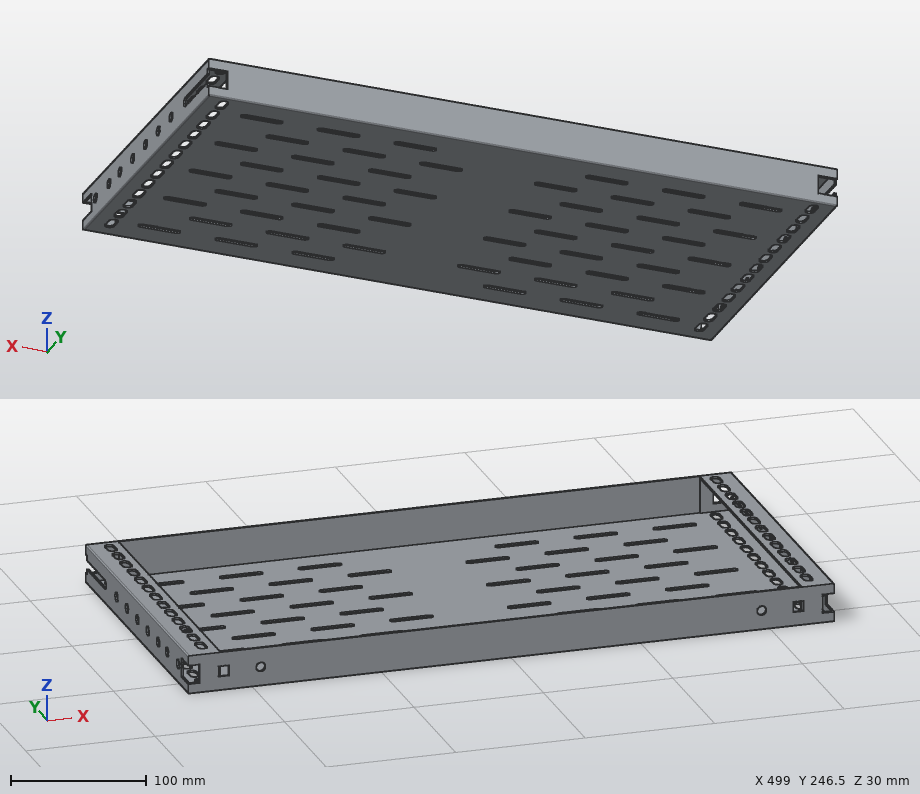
import cadquery as cq

LENGTH = 499.0
DEPTH = 246.5
HEIGHT = 30.0
SHEET = 1.5
BEND_RADIUS = 1.0

TAB_THICKNESS = 1.0
LAPPED_THICKNESS = SHEET + TAB_THICKNESS
FLANGE_WIDTH = 25.0

FLANGE_SLOT_LENGTH = 14.0
FLANGE_SLOT_WIDTH = 7.0
FLANGE_SLOT_COUNT = 13
FLANGE_SLOT_PITCH = 18.0
FLANGE_SLOT_INSET = 15.5
FLANGE_SLOT_ROW_Y = 3.0

VENT_LENGTH = 33.0
VENT_WIDTH = 5.0
VENT_ROWS = 9
VENT_ROW_PITCH = 25.0
VENT_COLUMNS = 3
VENT_COLUMN_PITCH = 61.0
VENT_INSET = 51.5
VENT_STAGGER = VENT_COLUMN_PITCH / 2

WINDOW_HEIGHT = 14.5
WINDOW_ALONG_FRONT = 9.0
WINDOW_ALONG_BACK = 15.0
WINDOW_ALONG_WEB = 17.0

SQUARE_HOLE = 8.0
SQUARE_HOLE_INSET = 27.5
ROUND_HOLE_DIAMETER = 7.0
ROUND_HOLE_INSET = 56.0

SIDE_HOLE_DIAMETER = 7.0
SIDE_HOLE_PITCH = 25.0
SIDE_GRID_Y = -0.5
SIDE_GRID_STEPS = (-2, -1, 0, 1, 2)
SIDE_FRONT_HOLES_Y = (-72.0, -98.5)
SIDE_SLOT_DEPTH = 49.0
SIDE_SLOT_HEIGHT = 7.0

HALF_LENGTH = LENGTH / 2
HALF_DEPTH = DEPTH / 2
MID_HEIGHT = HEIGHT / 2


def block(x_range, y_range, z_range):
    """Box spanning the given ranges."""
    size = [high - low for low, high in (x_range, y_range, z_range)]
    corner = cq.Vector(x_range[0], y_range[0], z_range[0])
    return cq.Workplane("XY").box(*size, centered=False).translate(corner)


def folded_tray():
    """Floor, four walls, side flanges and lapped tabs as one sheet body."""
    outer = (
        cq.Workplane("XY")
        .box(LENGTH, DEPTH, HEIGHT, centered=(True, True, False))
        .edges("|Y or (|X and <Z)")
        .fillet(BEND_RADIUS)
    )
    inner_x = HALF_LENGTH - SHEET
    inner_y = HALF_DEPTH - SHEET
    opening_x = HALF_LENGTH - FLANGE_WIDTH
    tab_inner_y = inner_y - TAB_THICKNESS
    under_flanges = block((-inner_x, inner_x), (-tab_inner_y, tab_inner_y), (SHEET, HEIGHT - SHEET))
    opening = block((-opening_x, opening_x), (-inner_y, inner_y), (SHEET, HEIGHT))
    return outer.cut(under_flanges).cut(opening)


def flange_slots():
    """Short slots through flange and floor along both sides."""
    x = HALF_LENGTH - FLANGE_SLOT_INSET
    middle = (FLANGE_SLOT_COUNT - 1) / 2
    centres = [
        (side * x, FLANGE_SLOT_ROW_Y + (i - middle) * FLANGE_SLOT_PITCH)
        for side in (-1, 1)
        for i in range(FLANGE_SLOT_COUNT)
    ]
    return (
        cq.Workplane("XY")
        .pushPoints(centres)
        .slot2D(FLANGE_SLOT_LENGTH, FLANGE_SLOT_WIDTH, 90)
        .extrude(HEIGHT)
    )


def vent_slots():
    """Staggered floor slots, mirrored about the middle of the length."""
    middle = (VENT_ROWS - 1) / 2
    centres = []
    for row in range(VENT_ROWS):
        inset = VENT_INSET + (row % 2) * VENT_STAGGER
        y = (row - middle) * VENT_ROW_PITCH
        for column in range(VENT_COLUMNS):
            x = HALF_LENGTH - inset - column * VENT_COLUMN_PITCH
            centres += [(-x, y), (x, y)]
    return cq.Workplane("XY").pushPoints(centres).slot2D(VENT_LENGTH, VENT_WIDTH).extrude(SHEET)


def corner_windows():
    """Mid-height windows: in both long walls at every corner, in the webs at the front only."""
    z_range = (MID_HEIGHT - WINDOW_HEIGHT / 2, MID_HEIGHT + WINDOW_HEIGHT / 2)
    front = (-HALF_DEPTH, LAPPED_THICKNESS - HALF_DEPTH)
    back = (HALF_DEPTH - LAPPED_THICKNESS, HALF_DEPTH)
    web_range = (-HALF_DEPTH, WINDOW_ALONG_WEB - HALF_DEPTH)
    windows = block((-HALF_LENGTH, SHEET - HALF_LENGTH), web_range, z_range)
    windows = windows.union(block((HALF_LENGTH - SHEET, HALF_LENGTH), web_range, z_range))
    for y_range, along_wall in ((front, WINDOW_ALONG_FRONT), (back, WINDOW_ALONG_BACK)):
        windows = windows.union(block((-HALF_LENGTH, along_wall - HALF_LENGTH), y_range, z_range))
        windows = windows.union(block((HALF_LENGTH - along_wall, HALF_LENGTH), y_range, z_range))
    return windows


def front_wall_holes():
    """Square and round holes near both ends of the front wall."""
    square_x = HALF_LENGTH - SQUARE_HOLE_INSET
    round_x = HALF_LENGTH - ROUND_HOLE_INSET
    face = cq.Workplane("XZ", origin=(0, -HALF_DEPTH, MID_HEIGHT))
    through_wall = -SHEET
    squares = face.pushPoints([(-square_x, 0), (square_x, 0)]).rect(SQUARE_HOLE, SQUARE_HOLE)
    squares = squares.extrude(through_wall)
    rounds = face.pushPoints([(-round_x, 0), (round_x, 0)]).circle(ROUND_HOLE_DIAMETER / 2)
    rounds = rounds.extrude(through_wall)
    return squares.union(rounds)


def side_web_holes():
    """Round holes and an open-ended rear slot through both webs."""
    hole_ys = [SIDE_GRID_Y + step * SIDE_HOLE_PITCH for step in SIDE_GRID_STEPS] + list(SIDE_FRONT_HOLES_Y)
    face = cq.Workplane("YZ", origin=(-HALF_LENGTH, 0, MID_HEIGHT))
    holes = face.pushPoints([(y, 0) for y in hole_ys]).circle(SIDE_HOLE_DIAMETER / 2).extrude(LENGTH)
    round_end_y = HALF_DEPTH - SIDE_SLOT_DEPTH + SIDE_SLOT_HEIGHT / 2
    slot_end = face.center(round_end_y, 0).circle(SIDE_SLOT_HEIGHT / 2).extrude(LENGTH)
    slot = block(
        (-HALF_LENGTH, HALF_LENGTH),
        (round_end_y, HALF_DEPTH - LAPPED_THICKNESS),
        (MID_HEIGHT - SIDE_SLOT_HEIGHT / 2, MID_HEIGHT + SIDE_SLOT_HEIGHT / 2),
    )
    return holes.union(slot_end).union(slot)


result = (
    folded_tray()
    .cut(flange_slots())
    .cut(vent_slots())
    .cut(corner_windows())
    .cut(front_wall_holes())
    .cut(side_web_holes())
)